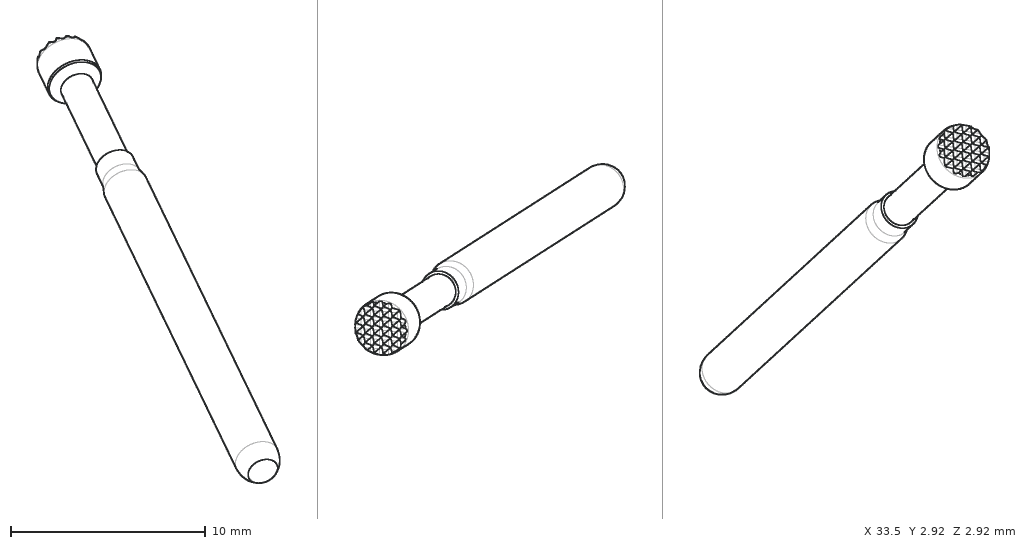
import cadquery as cq
import math


head_diameter = 2.92
shank_diameter = 1.75
collar_diameter = 2.06
barrel_diameter = 2.35
nose_end_diameter = 1.6
tip_diameter = 2.68
head_shoulder_diameter = 2.8

overall_length = 33.53
rim_bevel_end_x = 0.44
head_edge_x = 2.17
head_shoulder_x = 2.27
head_back_x = 2.58
collar_start_x = 8.9
crimp_start_x = 10.0
crimp_end_x = 10.65
nose_length = 1.0
nose_start_x = overall_length - nose_length

groove_pitch = 0.5
groove_angle = 60.0
groove_root_radius = 0.1
grooves_each_side = 3
half_angle = math.radians(groove_angle / 2)
sharp_groove_depth = groove_pitch / 2 / math.tan(half_angle)
groove_depth = sharp_groove_depth - groove_root_radius * (1 / math.sin(half_angle) - 1)
root_tangent_x = groove_depth - groove_root_radius * (1 - math.sin(half_angle))
root_half_width = groove_root_radius * math.cos(half_angle)


def nose_midpoint():
    """Middle of the arc that leaves the barrel tangentially and ends at the flat nose face."""
    drop = (barrel_diameter - nose_end_diameter) / 2
    arc_radius = (nose_length**2 + drop**2) / (2 * drop)
    half_sweep = math.asin(nose_length / arc_radius) / 2
    x = nose_start_x + arc_radius * math.sin(half_sweep)
    radius = barrel_diameter / 2 - arc_radius * (1 - math.cos(half_sweep))
    return x, radius


def make_body():
    """Bevelled head, shank, collar, crimped barrel and rounded nose as one revolved profile."""
    profile = (
        cq.Workplane("XY")
        .moveTo(0, 0)
        .lineTo(0, tip_diameter / 2)
        .lineTo(rim_bevel_end_x, head_diameter / 2)
        .lineTo(head_edge_x, head_diameter / 2)
        .lineTo(head_shoulder_x, head_shoulder_diameter / 2)
        .lineTo(head_back_x, shank_diameter / 2)
        .lineTo(collar_start_x, shank_diameter / 2)
        .lineTo(collar_start_x, collar_diameter / 2)
        .lineTo(crimp_start_x, collar_diameter / 2)
        .lineTo(crimp_end_x, barrel_diameter / 2)
        .lineTo(nose_start_x, barrel_diameter / 2)
        .threePointArc(nose_midpoint(), (overall_length, nose_end_diameter / 2))
        .lineTo(overall_length, 0)
        .close()
    )
    return profile.revolve(360, (0, 0, 0), (1, 0, 0))


def make_groove_cutter():
    """Parallel round-rooted V grooves running along Z, joined by a slab ahead of the tip plane."""
    half_width = (grooves_each_side + 0.5) * groove_pitch
    outline = cq.Workplane("XY").moveTo(-groove_depth, -half_width).lineTo(0, -half_width)
    for index in range(-grooves_each_side, grooves_each_side + 1):
        center = index * groove_pitch
        root_end = (root_tangent_x, center + root_half_width)
        outline = outline.lineTo(root_tangent_x, center - root_half_width)
        outline = outline.threePointArc((groove_depth, center), root_end)
        outline = outline.lineTo(0, center + groove_pitch / 2)
    outline = outline.lineTo(-groove_depth, half_width).close()
    return outline.extrude(head_diameter, both=True)


def cut_serrations(body):
    """Cut the groove set in both directions across the head face."""
    cutter = make_groove_cutter()
    crossed_cutter = cutter.rotate((0, 0, 0), (1, 0, 0), 90)
    return body.cut(cutter).cut(crossed_cutter)


result = cut_serrations(make_body())